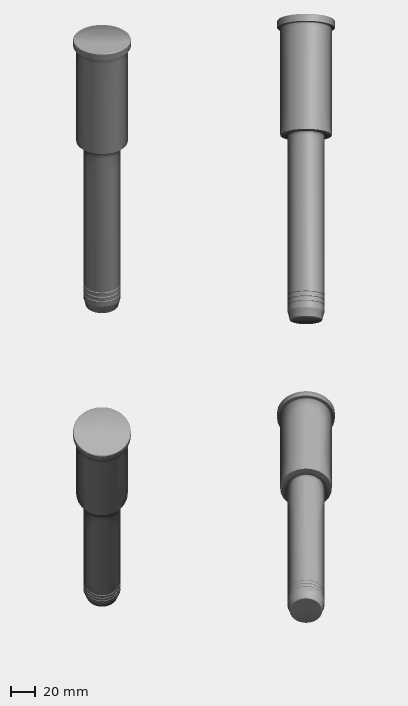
import cadquery as cq

total_length = 251.0
head_diameter = 47.0
body_diameter = 42.0
shaft_diameter = 30.0

head_thickness = 6.0
head_and_body_length = 96.0

head_chamfer = 0.5

neck_depth = 0.5
neck_length = 1.0

round_groove_radius = 0.5

groove_count = 3
groove_pitch = 4.0
lowest_groove_height = 12.5

nose_height = 7.3
nose_tip_diameter = 26.5
nose_hollow = 0.13
tip_chamfer = 0.5


def cylinder(diameter, bottom, top):
    """Solid cylinder on the Z axis between two heights."""
    return cq.Workplane("XY").workplane(offset=bottom).circle(diameter / 2).extrude(top - bottom)


def ring_cutter(diameter, depth, bottom, width):
    """Ring that cuts a groove of the given depth into a cylinder."""
    outer = cylinder(diameter + 2 * depth, bottom, bottom + width)
    return outer.cut(cylinder(diameter - 2 * depth, bottom, bottom + width))


def round_groove_cutter(diameter, height):
    """Torus that cuts a half-round groove around a cylinder, centred at the given height."""
    torus = cq.Solid.makeTorus(diameter / 2, round_groove_radius)
    return torus.translate(cq.Vector(0, 0, height))


def make_nose():
    """Tapering nose with a slightly hollow flank and a small chamfer around its flat tip."""
    shaft_radius = shaft_diameter / 2
    tip_radius = nose_tip_diameter / 2
    middle_radius = (shaft_radius + tip_radius) / 2 - nose_hollow
    middle_height = (nose_height + tip_chamfer) / 2
    profile = (
        cq.Workplane("XZ")
        .lineTo(tip_radius - tip_chamfer, 0)
        .lineTo(tip_radius, tip_chamfer)
        .threePointArc((middle_radius, middle_height), (shaft_radius, nose_height))
        .lineTo(0, nose_height)
        .close()
    )
    return profile.revolve(360, (0, 0, 0), (0, 1, 0))


head_bottom = total_length - head_thickness
body_bottom = total_length - head_and_body_length

head = cylinder(head_diameter, head_bottom, total_length).faces(">Z").chamfer(head_chamfer)
body = cylinder(body_diameter, body_bottom, head_bottom)
shaft = cylinder(shaft_diameter, nose_height, body_bottom)
result = make_nose().union(shaft).union(body).union(head)

head_relief_height = head_bottom - round_groove_radius
result = result.cut(round_groove_cutter(body_diameter, head_relief_height))

neck_bottom = body_bottom - neck_length
result = result.cut(ring_cutter(shaft_diameter, neck_depth, neck_bottom, neck_length))

for index in range(groove_count):
    groove_height = lowest_groove_height + index * groove_pitch
    result = result.cut(round_groove_cutter(shaft_diameter, groove_height))